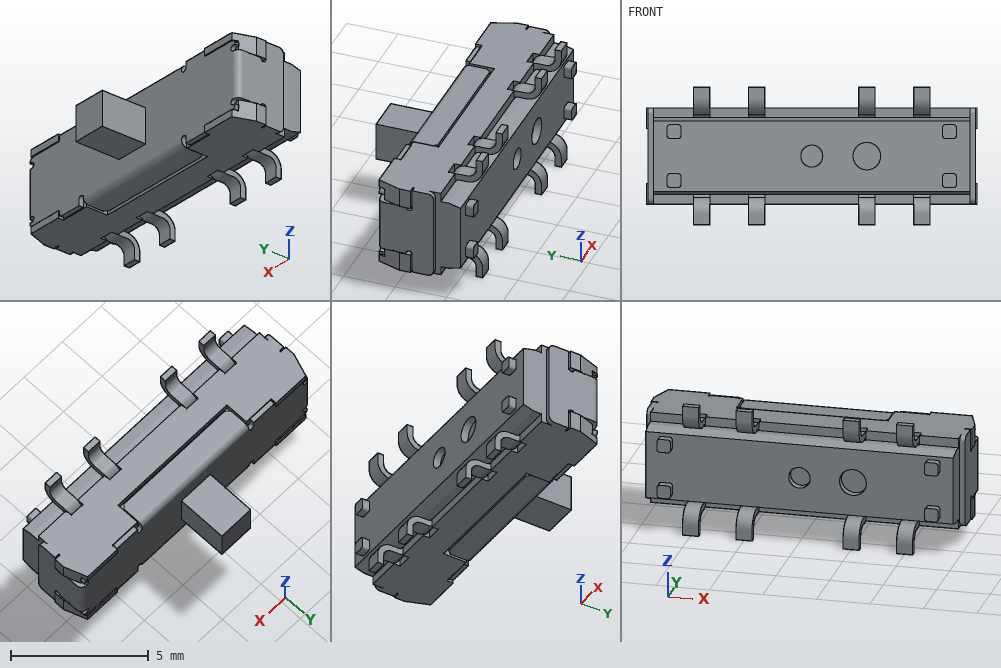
import cadquery as cq

BODY_HALF_DEPTH = 1.75
CORE_HALF_LENGTH = 5.75
COVER_GAP = 0.05

STEP_HEIGHT = 0.77
BASE_HALF_DEPTH = 1.4
TAPER_HEIGHT = 0.45
FOOT_HALF_DEPTH = 1.28

SHEET = 0.2
BEND_RADIUS = 0.25
COVER_TOP = 3.15
CORE_TOP = COVER_TOP - SHEET
FLAP_HALF_DEPTH = 1.7
PLATE_HALF_DEPTH = FLAP_HALF_DEPTH - BEND_RADIUS
PLATE_HALF_LENGTH = 5.8
PLATE_CORNER_RADIUS = 0.2
SIDE_STRIP_OUTER_RADIUS = 0.11
FLAP_HALF_LENGTH = 2.78
FLAP_BOTTOM = 2.07
FLAP_CORNER = 0.15
FLAP_WINDOW_GAP = 0.1
FLAP_WINDOW_HALF_LENGTH = FLAP_HALF_LENGTH + COVER_GAP
TAB_HALF_LENGTH = CORE_HALF_LENGTH + SHEET
TAB_NECK_HALF_DEPTH = 1.0
TAB_BEND_START = TAB_HALF_LENGTH - BEND_RADIUS
WING_TOP = 1.81
WING_BOTTOM = 0.98
WING_CORNER_RADIUS = 0.22
RELIEF_RADIUS = 0.12
SIDE_STRIP_START = FLAP_HALF_LENGTH + 2 * RELIEF_RADIUS

LIP_TOP = 3.2
LIP_INNER_HALF_LENGTH = 4.13
LIP_OUTER_HALF_LENGTH = 5.68
EAR_HALF_LENGTH = 6.0
EAR_SLOPE_END = 2.29
EAR_BOTTOM = WING_TOP + COVER_GAP

TERMINAL_XS = (-4.0, -2.0, 2.0, 4.0)
TERMINAL_WIDTH = 0.6
TERMINAL_SHEET = 0.25
TERMINAL_HALF_DEPTH = 2.5
STANDOFF = 0.3
FOOT_BEND_INNER = 0.35
FOOT_BEND_OUTER = FOOT_BEND_INNER + TERMINAL_SHEET
ROOT_BEND_OUTER = 0.44
ROOT_BEND_INNER = ROOT_BEND_OUTER - TERMINAL_SHEET
ROOT_TOP = 1.03
ROOT_DEPTH = 1.0

PEG_X = 5.0
PEG_Z = 0.89
PEG_WIDTH = 0.5
PEG_CORNER_RADIUS = 0.1
HOLE_DEPTH = 0.3
HOLES = ((0.0, 0.8), (2.0, 1.0))

KNOB_WIDTH = 1.5
KNOB_TOP = 5.2


def block(x0, x1, y0, y1, z0, z1):
    """Box between two opposite corners."""
    return cq.Workplane("XY").box(x1 - x0, y1 - y0, z1 - z0, centered=False).translate((x0, y0, z0))


def mirrored_x(shape):
    """Shape joined with its copy on the opposite X side."""
    return shape.union(shape.mirror("YZ"))


def mirrored_z(shape):
    """Shape joined with its copy on the opposite Z side."""
    return shape.union(shape.mirror("XY"))


def along_y(y):
    """Workplane at height y with its normal toward +Y; its second axis points toward -Z."""
    return cq.Workplane(cq.Plane(origin=(0, y, 0), xDir=(1, 0, 0), normal=(0, 1, 0)))


def make_core():
    """Insulator body, stepped and tapered toward the mounting face."""
    profile = [
        (0, FOOT_HALF_DEPTH),
        (TAPER_HEIGHT, BASE_HALF_DEPTH),
        (STEP_HEIGHT, BASE_HALF_DEPTH),
        (STEP_HEIGHT, BODY_HALF_DEPTH),
        (CORE_TOP, BODY_HALF_DEPTH),
    ]
    profile += [(y, -z) for y, z in reversed(profile)]
    core = cq.Workplane("YZ").polyline(profile).close().extrude(CORE_HALF_LENGTH, both=True)
    return core.faces(">Y").edges("|Z").fillet(BEND_RADIUS - SHEET)


def make_ears():
    """Sloped ears at the four upper corners, carrying the lips that frame the cover."""
    outline = [
        (LIP_INNER_HALF_LENGTH, EAR_BOTTOM),
        (EAR_HALF_LENGTH, EAR_BOTTOM),
        (EAR_HALF_LENGTH, EAR_SLOPE_END),
        (LIP_OUTER_HALF_LENGTH, LIP_TOP),
        (LIP_INNER_HALF_LENGTH, LIP_TOP),
    ]
    ear_depth = BODY_HALF_DEPTH - TAB_NECK_HALF_DEPTH
    ear = cq.Workplane("XY", origin=(0, 0, TAB_NECK_HALF_DEPTH)).polyline(outline).close().extrude(ear_depth)
    below_lip = block(0, EAR_HALF_LENGTH, CORE_TOP, LIP_TOP, TAB_NECK_HALF_DEPTH, PLATE_HALF_DEPTH)
    return mirrored_z(mirrored_x(ear.cut(below_lip)))


def make_flap_window():
    """Recess in each broad side that leaves a narrow gap around the cover flap."""
    window = block(
        -FLAP_WINDOW_HALF_LENGTH, FLAP_WINDOW_HALF_LENGTH,
        FLAP_BOTTOM - FLAP_WINDOW_GAP, CORE_TOP,
        FLAP_HALF_DEPTH - SHEET, BODY_HALF_DEPTH,
    )
    return mirrored_z(window)


def folded_sheet(half_span, bottom, half_width):
    """Channel of sheet: a top plate with a rounded bend down each side."""
    height = COVER_TOP - bottom
    outer = cq.Workplane("XY").box(2 * half_span, height, 2 * half_width)
    outer = outer.translate((0, bottom + height / 2, 0)).faces(">Y").edges("|Z").fillet(BEND_RADIUS)
    inner = cq.Workplane("XY").box(2 * (half_span - SHEET), height, 2 * half_width)
    inner = inner.translate((0, bottom + height / 2 - SHEET, 0))
    inner = inner.faces(">Y").edges("|Z").fillet(BEND_RADIUS - SHEET)
    return outer.cut(inner)


def make_flaps():
    """Side flaps bent down from the top plate, with clipped lower corners."""
    channel = folded_sheet(FLAP_HALF_DEPTH, FLAP_BOTTOM, FLAP_HALF_LENGTH)
    channel = channel.rotate((0, 0, 0), (0, 1, 0), 90)
    corner = (
        cq.Workplane("XY")
        .moveTo(FLAP_HALF_LENGTH, FLAP_BOTTOM)
        .lineTo(FLAP_HALF_LENGTH, FLAP_BOTTOM + FLAP_CORNER)
        .lineTo(FLAP_HALF_LENGTH - FLAP_CORNER, FLAP_BOTTOM)
        .close()
        .extrude(BODY_HALF_DEPTH, both=True)
    )
    return channel.cut(mirrored_x(corner))


def make_plate():
    """Flat top plate, slotted with round-ended reliefs beside the flap and tab bends."""
    plate = block(
        -PLATE_HALF_LENGTH, PLATE_HALF_LENGTH,
        CORE_TOP, COVER_TOP,
        -PLATE_HALF_DEPTH, PLATE_HALF_DEPTH,
    )
    plate = plate.edges("|Y").fillet(PLATE_CORNER_RADIUS)
    beyond_bends = block(
        TAB_BEND_START, PLATE_HALF_LENGTH,
        CORE_TOP, COVER_TOP,
        -TAB_NECK_HALF_DEPTH - 2 * RELIEF_RADIUS, TAB_NECK_HALF_DEPTH + 2 * RELIEF_RADIUS,
    )
    flap_relief = (FLAP_HALF_LENGTH + RELIEF_RADIUS, PLATE_HALF_DEPTH)
    tab_relief = (TAB_BEND_START, TAB_NECK_HALF_DEPTH + RELIEF_RADIUS)
    centers = [(sx * x, sz * z) for x, z in (flap_relief, tab_relief) for sx in (-1, 1) for sz in (-1, 1)]
    reliefs = along_y(CORE_TOP).pushPoints(centers).circle(RELIEF_RADIUS).extrude(SHEET)
    return plate.cut(mirrored_x(beyond_bends)).cut(reliefs)


def make_plate_strips():
    """Strips that widen the plate between each flap and the neighbouring lip."""
    strip = block(
        SIDE_STRIP_START, LIP_INNER_HALF_LENGTH,
        CORE_TOP, COVER_TOP,
        PLATE_HALF_DEPTH, FLAP_HALF_DEPTH,
    )
    strip = strip.edges("|Y and >X and >Z").fillet(SIDE_STRIP_OUTER_RADIUS)
    return mirrored_z(mirrored_x(strip))


def make_end_tabs():
    """Tabs folded down over the ends, each with a narrow neck and two wings."""
    tabs = folded_sheet(TAB_HALF_LENGTH, WING_BOTTOM, TAB_NECK_HALF_DEPTH)
    wing = block(
        CORE_HALF_LENGTH, TAB_HALF_LENGTH,
        WING_BOTTOM, WING_TOP,
        -BODY_HALF_DEPTH, BODY_HALF_DEPTH,
    )
    wing = wing.edges("|X and <Y").fillet(WING_CORNER_RADIUS)
    reliefs = (
        cq.Workplane("YZ", origin=(CORE_HALF_LENGTH, 0, 0))
        .pushPoints([(WING_TOP + RELIEF_RADIUS, z) for z in (-TAB_NECK_HALF_DEPTH, TAB_NECK_HALF_DEPTH)])
        .circle(RELIEF_RADIUS)
        .extrude(SHEET)
    )
    return tabs.union(mirrored_x(wing)).cut(mirrored_x(reliefs))


def make_terminal_pocket(x):
    """Notch in the side wall above the step, where a terminal leaves the core."""
    half = TERMINAL_WIDTH / 2
    root_z = BODY_HALF_DEPTH - ROOT_BEND_OUTER
    return block(x - half, x + half, STEP_HEIGHT, ROOT_TOP, root_z, BODY_HALF_DEPTH)


def make_terminal(x):
    """Bent strip: out of the core, down along the wall, then outward as a solder foot."""
    wall_outer = BODY_HALF_DEPTH
    wall_inner = wall_outer - TERMINAL_SHEET
    root_z = wall_outer - ROOT_BEND_OUTER
    leg_top = ROOT_TOP - ROOT_BEND_OUTER
    leg_bottom = FOOT_BEND_OUTER - STANDOFF
    foot_z = wall_outer + FOOT_BEND_INNER
    foot_inner_y = TERMINAL_SHEET - STANDOFF
    return (
        cq.Workplane("YZ", origin=(x - TERMINAL_WIDTH / 2, 0, 0))
        .moveTo(ROOT_TOP, ROOT_DEPTH)
        .lineTo(ROOT_TOP, root_z)
        .radiusArc((leg_top, wall_outer), -ROOT_BEND_OUTER)
        .lineTo(leg_bottom, wall_outer)
        .radiusArc((foot_inner_y, foot_z), FOOT_BEND_INNER)
        .lineTo(foot_inner_y, TERMINAL_HALF_DEPTH)
        .lineTo(-STANDOFF, TERMINAL_HALF_DEPTH)
        .lineTo(-STANDOFF, foot_z)
        .radiusArc((leg_bottom, wall_inner), -FOOT_BEND_OUTER)
        .lineTo(leg_top, wall_inner)
        .radiusArc((ROOT_TOP - TERMINAL_SHEET, root_z), ROOT_BEND_INNER)
        .lineTo(ROOT_TOP - TERMINAL_SHEET, ROOT_DEPTH)
        .close()
        .extrude(TERMINAL_WIDTH)
    )


def make_pegs():
    """Four rounded square pegs standing down from the mounting face."""
    centers = [(x, z) for x in (-PEG_X, PEG_X) for z in (-PEG_Z, PEG_Z)]
    pegs = along_y(-STANDOFF).pushPoints(centers).rect(PEG_WIDTH, PEG_WIDTH).extrude(STANDOFF)
    return pegs.edges("|Y").fillet(PEG_CORNER_RADIUS)


def make_housing():
    """Core, cover, terminals and pegs joined as one solid."""
    housing = make_core().union(make_ears()).cut(make_flap_window())
    for part in (make_plate(), make_plate_strips(), make_flaps(), make_end_tabs()):
        housing = housing.union(part)
    for x in TERMINAL_XS:
        housing = housing.cut(mirrored_z(make_terminal_pocket(x)))
        housing = housing.union(mirrored_z(make_terminal(x)))
    housing = housing.union(make_pegs())
    for x, diameter in HOLES:
        housing = housing.cut(along_y(0).center(x, 0).circle(diameter / 2).extrude(HOLE_DEPTH))
    return housing


def make_knob():
    """Square slider knob standing on the cover plate."""
    half = KNOB_WIDTH / 2
    return block(-half, half, COVER_TOP, KNOB_TOP, -half, half)


housing = make_housing()
knob = make_knob()
result = cq.Compound.makeCompound([housing.solids().val(), knob.val()])